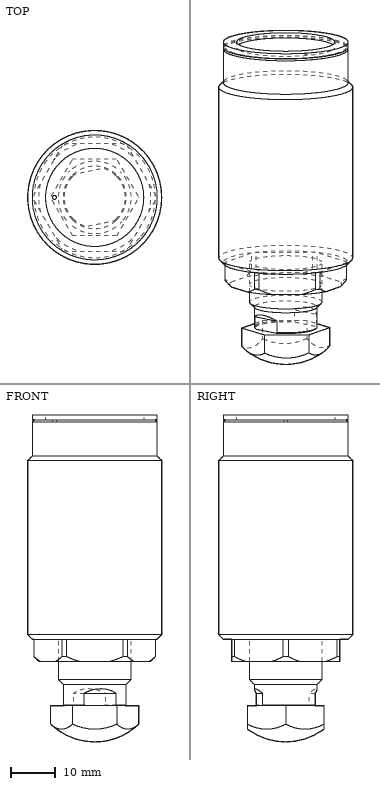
import cadquery as cq
import math

HEIGHT = 73.25
RING_THICKNESS = 1.2
HOUSING_BOTTOM = 23.0
COLLAR_THICKNESS = 5.0
HEAD_TOP = 8.1
DOME_RIM = 4.0

HOUSING_RADIUS = 15.0
EDGE_CHAMFER = 1.0
NECK_RADIUS = HOUSING_RADIUS - EDGE_CHAMFER
SHOULDER_TOP = 64.0
NECK_CHAMFER = 0.45
DOT_RADIUS = 0.45
DOT_DEPTH = 0.4
DOT_OFFSET = 9.0

RING_INNER_RADIUS = 11.0

COLLAR_ACROSS_FLATS = 24.2
COLLAR_CORNER_RADIUS = 13.6
COLLAR_CHAMFER = 1.1

ROD_RADIUS = 8.1
SHANK_RADIUS = 7.0
ROD_STEP_TOP = 14.0
SHANK_CHAMFER = 0.2
FLAT_DISTANCE = 6.0
FLAT_ANGLE = 11.4
FLAT_TOP = 10.9

HEAD_ACROSS_FLATS = 17.15

RING_BOTTOM = HEIGHT - RING_THICKNESS
COLLAR_BOTTOM = HOUSING_BOTTOM - COLLAR_THICKNESS


def cylinder(radius, bottom, top):
    return cq.Workplane("XY").workplane(offset=bottom).circle(radius).extrude(top - bottom)


def hexagon(across_flats, bottom, top):
    """Hexagonal prism with two corners on the X axis."""
    corner_diameter = across_flats / math.cos(math.radians(30))
    return cq.Workplane("XY").workplane(offset=bottom).polygon(6, corner_diameter).extrude(top - bottom)


def make_collar():
    envelope = cylinder(COLLAR_CORNER_RADIUS, COLLAR_BOTTOM, HOUSING_BOTTOM).faces("<Z").chamfer(COLLAR_CHAMFER)
    bore = cylinder(ROD_RADIUS, COLLAR_BOTTOM, HOUSING_BOTTOM)
    return hexagon(COLLAR_ACROSS_FLATS, COLLAR_BOTTOM, HOUSING_BOTTOM).intersect(envelope).cut(bore)


def make_housing():
    barrel = cylinder(HOUSING_RADIUS, HOUSING_BOTTOM, SHOULDER_TOP).faces("|Z").chamfer(EDGE_CHAMFER)
    neck = cylinder(NECK_RADIUS, SHOULDER_TOP, RING_BOTTOM).faces(">Z").chamfer(NECK_CHAMFER)
    dot = cylinder(DOT_RADIUS, RING_BOTTOM - DOT_DEPTH, RING_BOTTOM).translate((-DOT_OFFSET, 0, 0))
    return barrel.union(neck).union(make_collar()).cut(dot)


def make_ring():
    return cylinder(NECK_RADIUS, RING_BOTTOM, HEIGHT).cut(cylinder(RING_INNER_RADIUS, RING_BOTTOM, HEIGHT))


def make_head():
    """Hexagonal head whose lower end is part of a sphere."""
    corner_radius = HEAD_ACROSS_FLATS / 2 / math.cos(math.radians(30))
    dome_radius = (corner_radius**2 + DOME_RIM**2) / (2 * DOME_RIM)
    ball = cq.Workplane("XY").sphere(dome_radius).translate((0, 0, dome_radius))
    return hexagon(HEAD_ACROSS_FLATS, 0, HEAD_TOP).intersect(ball)


def make_flat_cutter():
    """Prism that cuts one wrench flat with a 45 degree run-out at its top."""
    reach = ROD_RADIUS - FLAT_DISTANCE
    return (
        cq.Workplane("YZ")
        .moveTo(FLAT_DISTANCE, HEAD_TOP)
        .lineTo(FLAT_DISTANCE, FLAT_TOP)
        .lineTo(FLAT_DISTANCE + reach, FLAT_TOP + reach)
        .lineTo(FLAT_DISTANCE + reach, HEAD_TOP)
        .close()
        .extrude(ROD_RADIUS, both=True)
    )


def make_rod():
    taper = ROD_RADIUS - SHANK_RADIUS
    upper = cylinder(ROD_RADIUS, ROD_STEP_TOP - taper, HOUSING_BOTTOM).faces("<Z").chamfer(taper)
    shank = cylinder(SHANK_RADIUS, HEAD_TOP, ROD_STEP_TOP).faces("<Z").chamfer(SHANK_CHAMFER)
    for turn in (0, 180):
        shank = shank.cut(make_flat_cutter().rotate((0, 0, 0), (0, 0, 1), FLAT_ANGLE + turn))
    return upper.union(shank)


housing = make_housing()
ring = make_ring()
rod = make_rod()
head = make_head()

bodies = [body.solids().val() for body in (housing, ring, rod, head)]
result = cq.Compound.makeCompound(bodies)